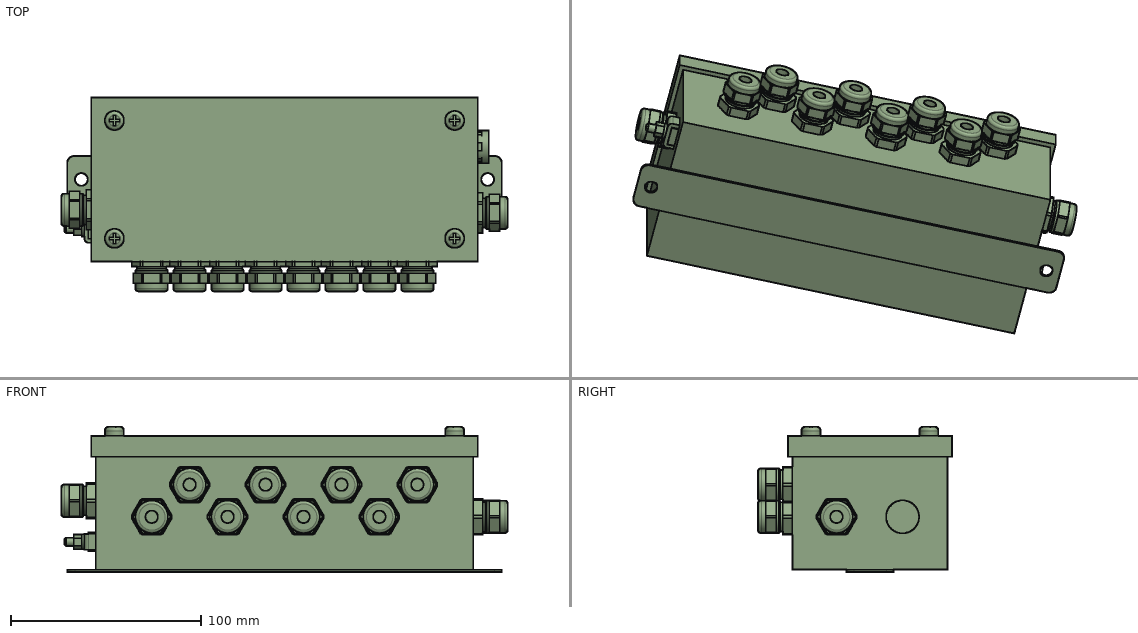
import cadquery as cq
import math

BODY_LENGTH = 198.8
BODY_WIDTH = 81.8
LID_OVERHANG = 2.4
LID_LENGTH = BODY_LENGTH + 2 * LID_OVERHANG
LID_WIDTH = BODY_WIDTH + 2 * LID_OVERHANG
LID_HEIGHT = 11.0
LID_TOP = 71.7
WALL_X = BODY_LENGTH / 2
WALL_Y = BODY_WIDTH / 2

STRIP_LENGTH = 229.0
STRIP_WIDTH = 25.0
STRIP_THICKNESS = 1.5
STRIP_CORNER_RADIUS = 4.0
STRIP_HOLE_DIAMETER = 6.5
STRIP_HOLE_SPACING = 213.8

SCREW_DIAMETER = 10.0
SCREW_HEIGHT = 5.0
SCREW_ROUNDING = 2.0
SCREW_SPACING_X = 179.0
SCREW_SPACING_Y = 62.0
RECESS_SPAN = 5.6
RECESS_ARM_WIDTH = 1.5
RECESS_DEPTH = 1.5

GLAND_LENGTH = 18.0
BASE_NUT_FLATS = 19.0
BASE_NUT_CORNERS = 21.2
BASE_NUT_HEIGHT = 5.0
NECK_DIAMETER = 15.5
COLLAR_START = 5.9
COLLAR_CHAMFER = 1.2
CAP_NUT_START = 8.5
CAP_NUT_END = 13.9
CAP_NUT_FLATS = 17.5
CAP_NUT_CORNERS = 19.5
CAP_DIAMETER = 17.2
CAP_ROUNDING = 1.6
GLAND_BORE_DIAMETER = 6.5

FRONT_GLAND_COUNT = 8
FRONT_GLAND_PITCH = 20.0
LOWER_GLAND_Z = 29.1
UPPER_GLAND_Z = 46.0
LEFT_GLAND_Y = -16.0
LEFT_GLAND_Z = (LOWER_GLAND_Z + UPPER_GLAND_Z) / 2
RIGHT_GLAND_Y = -17.6

TERMINAL_Y = -26.0
TERMINAL_Z = 16.0
PAD_LENGTH = 10.0
PAD_WIDTH = 9.9
PAD_HEIGHT = 3.8
CLAMP_LENGTH = 14.5
CLAMP_WIDTH = 8.5
CLAMP_HEIGHT = 5.9
CLAMP_ROUNDING = 2.0
WASHER_DIAMETER = 8.0
WASHER_TOP = 7.3
STUD_NUT_FLATS = 6.8
STUD_NUT_TOP = 11.5
STUD_DIAMETER = 4.5
STUD_LENGTH = 16.5
STUD_CHAMFER = 1.0

PLUG_Y = 17.2
PLUG_Z = LOWER_GLAND_Z
PLUG_DIAMETER = 17.5
PLUG_HEIGHT = 8.2
PLUG_SLOT_COUNT = 6
PLUG_SLOT_WIDTH = 4.2
PLUG_SLOT_DEPTH = 1.2
PLUG_SLOT_HEIGHT = 4.5


def cylinder(diameter, bottom, top):
    """Cylinder on the local Z axis between two heights."""
    return cq.Workplane("XY").workplane(offset=bottom).circle(diameter / 2).extrude(top - bottom)


def hexagon(across_flats, bottom, top):
    """Hexagonal prism with one pair of flats facing local +Y and -Y."""
    across_corners = across_flats / math.cos(math.pi / 6)
    return cq.Workplane("XY").workplane(offset=bottom).polygon(6, across_corners).extrude(top - bottom)


def blunt_hexagon(across_flats, across_corners, bottom, top):
    """Hexagonal prism whose six corners are cut flat."""
    corner_cutter = hexagon(across_corners, bottom, top).rotate((0, 0, 0), (0, 0, 1), 30)
    return hexagon(across_flats, bottom, top).intersect(corner_cutter)


def make_lid_screw():
    """Round screw head with a cross recess, standing on local Z = 0."""
    head = cylinder(SCREW_DIAMETER, 0, SCREW_HEIGHT).faces(">Z").edges().fillet(SCREW_ROUNDING)
    recess_floor = SCREW_HEIGHT - RECESS_DEPTH
    arm = cq.Workplane("XY").workplane(offset=recess_floor).rect(RECESS_SPAN, RECESS_ARM_WIDTH)
    arm = arm.extrude(RECESS_DEPTH)
    return head.cut(arm).cut(arm.rotate((0, 0, 0), (0, 0, 1), 90))


def make_gland():
    """Cable gland: base nut, neck, collar, cap nut and rounded cap with a bore."""
    gland = blunt_hexagon(BASE_NUT_FLATS, BASE_NUT_CORNERS, 0, BASE_NUT_HEIGHT)
    collar = cylinder(CAP_DIAMETER, COLLAR_START, CAP_NUT_START)
    cap = cylinder(CAP_DIAMETER, CAP_NUT_START, GLAND_LENGTH)
    gland = gland.union(cylinder(NECK_DIAMETER, 0, CAP_NUT_START))
    gland = gland.union(collar.faces("<Z").edges().chamfer(COLLAR_CHAMFER))
    gland = gland.union(blunt_hexagon(CAP_NUT_FLATS, CAP_NUT_CORNERS, CAP_NUT_START, CAP_NUT_END))
    gland = gland.union(cap.faces(">Z").edges().fillet(CAP_ROUNDING))
    return gland.cut(cylinder(GLAND_BORE_DIAMETER, 0, GLAND_LENGTH))


def make_terminal():
    """Earth terminal: square pad, rounded clamp, washer, hexagon nut and stud."""
    pad = cq.Workplane("XY").rect(PAD_LENGTH, PAD_WIDTH).extrude(PAD_HEIGHT)
    clamp = cq.Workplane("XY").rect(CLAMP_LENGTH, CLAMP_WIDTH).extrude(CLAMP_HEIGHT)
    clamp = clamp.faces(">Z").edges("|Y").fillet(CLAMP_ROUNDING)
    nut = hexagon(STUD_NUT_FLATS, WASHER_TOP, STUD_NUT_TOP).rotate((0, 0, 0), (0, 0, 1), 90)
    stud = cylinder(STUD_DIAMETER, 0, STUD_LENGTH).faces(">Z").edges().chamfer(STUD_CHAMFER)
    washer = cylinder(WASHER_DIAMETER, CLAMP_HEIGHT, WASHER_TOP)
    return pad.union(clamp).union(washer).union(nut).union(stud)


def make_plug():
    """Round plug with slots around its rim, open towards the wall."""
    slots = (
        cq.Workplane("XY")
        .polarArray(PLUG_DIAMETER / 2, 90, 360, PLUG_SLOT_COUNT)
        .rect(2 * PLUG_SLOT_DEPTH, PLUG_SLOT_WIDTH)
        .extrude(PLUG_SLOT_HEIGHT)
    )
    return cylinder(PLUG_DIAMETER, 0, PLUG_HEIGHT).cut(slots)


def on_front(fitting, x, z):
    """Stand a fitting on the front (-Y) wall."""
    plane = cq.Plane(origin=(x, -WALL_Y, z), xDir=(1, 0, 0), normal=(0, -1, 0))
    return fitting.val().moved(cq.Location(plane))


def on_side(fitting, side, y, z):
    """Stand a fitting on the right (side = 1) or left (side = -1) wall."""
    plane = cq.Plane(origin=(side * WALL_X, y, z), xDir=(0, side, 0), normal=(side, 0, 0))
    return fitting.val().moved(cq.Location(plane))


body = (
    cq.Workplane("XY")
    .workplane(offset=STRIP_THICKNESS)
    .rect(BODY_LENGTH, BODY_WIDTH)
    .extrude(LID_TOP - STRIP_THICKNESS)
)
lid = (
    cq.Workplane("XY")
    .workplane(offset=LID_TOP - LID_HEIGHT)
    .rect(LID_LENGTH, LID_WIDTH)
    .extrude(LID_HEIGHT)
)
strip = (
    cq.Workplane("XY")
    .rect(STRIP_LENGTH, STRIP_WIDTH)
    .extrude(STRIP_THICKNESS)
    .edges("|Z")
    .fillet(STRIP_CORNER_RADIUS)
    .faces(">Z")
    .workplane()
    .rarray(STRIP_HOLE_SPACING, 2.4, 2, 1)
    .hole(STRIP_HOLE_DIAMETER)
)
result = body.union(lid).union(strip)

lid_screw = make_lid_screw()
for side_x in (-1, 1):
    for side_y in (-1, 1):
        screw_place = (side_x * SCREW_SPACING_X / 2, side_y * SCREW_SPACING_Y / 2, LID_TOP)
        result = result.union(lid_screw.translate(screw_place))

gland = make_gland()
for index in range(FRONT_GLAND_COUNT):
    gland_x = (index - (FRONT_GLAND_COUNT - 1) / 2) * FRONT_GLAND_PITCH
    gland_z = LOWER_GLAND_Z if index % 2 == 0 else UPPER_GLAND_Z
    result = result.union(on_front(gland, gland_x, gland_z))

result = result.union(on_side(gland, -1, LEFT_GLAND_Y, LEFT_GLAND_Z))
result = result.union(on_side(make_terminal(), -1, TERMINAL_Y, TERMINAL_Z))
result = result.union(on_side(gland, 1, RIGHT_GLAND_Y, LOWER_GLAND_Z))
result = result.union(on_side(make_plug(), 1, PLUG_Y, PLUG_Z))